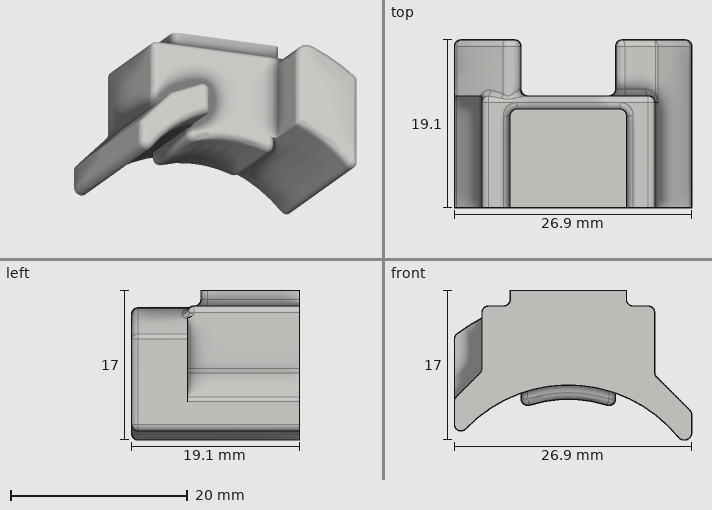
import cadquery as cq
import math

WIDTH = 26.92
LENGTH = 19.05
HEIGHT = 16.95
EDGE_RADIUS = 0.75

DECK_WIDTH = 13.2
DECK_HEIGHT = 1.75

BODY_WIDTH = 19.6
BODY_LENGTH = 12.7
BODY_LEFT = 3.12
BODY_RIGHT = BODY_LEFT + BODY_WIDTH
BODY_CENTRE = BODY_LEFT + BODY_WIDTH / 2
BODY_TOP = HEIGHT - DECK_HEIGHT
CORNER_START = BODY_LENGTH - EDGE_RADIUS
DECK_LENGTH = CORNER_START - EDGE_RADIUS

ARCH_RADIUS = 16.07
ARCH_TOP = 6.25
ARCH_CENTRE_Z = ARCH_TOP - ARCH_RADIUS
LEFT_TIP_RADIUS = 0.75
RIGHT_TIP_RADIUS = 0.85

LEFT_SKIRT_EDGE = 4.68
RIGHT_SKIRT_EDGE = 3.18

GAP_WIDTH = 10.71
LEFT_LEG_INNER = BODY_CENTRE - GAP_WIDTH / 2
RIGHT_LEG_INNER = BODY_CENTRE + GAP_WIDTH / 2
LEFT_LEG_TOP_RADIUS = 21.0
LEFT_LEG_TOP_CENTRE_Z = -4.75
LEFT_LEG_INNER_RADIUS = 1.5
RIGHT_LEG_TOP_ANGLE = 22.5
RIGHT_LEG_CREST = 22.95

KEY_DEPTH = 1.62
KEY_LENGTH = GAP_WIDTH

FILLET_CLEARANCE = 0.003

SELECT_MARGIN = 0.08
FLOOR_MARGIN = 0.27


def arch_height(x):
    """Height of the arch surface at x."""
    return ARCH_CENTRE_Z + math.sqrt(ARCH_RADIUS**2 - (x - BODY_CENTRE) ** 2)


FLOOR = arch_height(WIDTH) - FLOOR_MARGIN


def prism(points, start, end):
    """Solid with the given XZ outline from y = start to y = end."""
    profile = cq.Workplane("XZ").polyline(points).close()
    return profile.extrude(start - end).translate((0, start, 0))


def slab(left, right, bottom, top, start, end):
    """Rectangular block given by its limits along X, Z and Y."""
    return prism([(left, bottom), (left, top), (right, top), (right, bottom)], start, end)


def cylinder(radius, centre_z):
    """Round bar along the whole length, centred on the body width."""
    return cq.Workplane("XZ").center(BODY_CENTRE, centre_z).circle(radius).extrude(-LENGTH)


def within(low, high):
    """Selector for edges whose middle lies between two corner points, with a margin."""
    return cq.selectors.BoxSelector(
        tuple(value - SELECT_MARGIN for value in low),
        tuple(value + SELECT_MARGIN for value in high),
    )


def round_long_edges(solid, points, radius=EDGE_RADIUS):
    """Fillet the edges that run along Y through the given (x, z) points."""
    for x, z in points:
        solid = solid.edges(within((x, 0, z), (x, LENGTH, z))).fillet(radius)
    return solid


def make_body():
    """Block with rounded rear corners and top edges; its front stays sharp."""
    body = slab(BODY_LEFT, BODY_RIGHT, FLOOR, BODY_TOP, 0, BODY_LENGTH)
    body = body.edges("|Z and >Y").fillet(EDGE_RADIUS)
    return body.faces(">Z").edges("not <Y").fillet(EDGE_RADIUS)


def make_skirt(outer_x, wall_x, edge_z, length):
    """45 degree slope from the outer side up to the body wall, blended at both ends."""
    root_z = edge_z + abs(wall_x - outer_x)
    blend_top = root_z + EDGE_RADIUS
    skirt = prism(
        [
            (outer_x, FLOOR),
            (outer_x, edge_z),
            (wall_x, root_z),
            (wall_x, blend_top),
            (BODY_CENTRE, blend_top),
            (BODY_CENTRE, FLOOR),
        ],
        0,
        length,
    )
    return round_long_edges(skirt, [(outer_x, edge_z), (wall_x, root_z)])


def make_left_leg():
    """Tall leg with an arched top; inside the body width it also fills below the rounded corner."""
    leg = slab(0, LEFT_LEG_INNER, FLOOR, HEIGHT, CORNER_START, LENGTH)
    leg = leg.intersect(cylinder(LEFT_LEG_TOP_RADIUS, LEFT_LEG_TOP_CENTRE_Z))
    leg = leg.edges("|Y").edges(">Z").fillet(LEFT_LEG_INNER_RADIUS)
    leg = leg.edges("|Y").edges("<X").edges(">Z").fillet(EDGE_RADIUS)
    return leg.cut(slab(0, BODY_LEFT, FLOOR, HEIGHT, 0, BODY_LENGTH))


def make_right_leg():
    """Low leg that continues the right slope and then rises more gently toward the gap."""
    crest_z = RIGHT_SKIRT_EDGE + WIDTH - RIGHT_LEG_CREST
    rise = (RIGHT_LEG_CREST - RIGHT_LEG_INNER) * math.tan(math.radians(RIGHT_LEG_TOP_ANGLE))
    top = [
        (RIGHT_LEG_INNER, crest_z + rise),
        (RIGHT_LEG_CREST, crest_z),
        (WIDTH, RIGHT_SKIRT_EDGE),
    ]
    leg = prism([(RIGHT_LEG_INNER, FLOOR), *top, (WIDTH, FLOOR)], CORNER_START, LENGTH)
    return round_long_edges(leg, top)


def blend_legs(part):
    """Fillet the legs into the rear wall; each blend follows the tangent edges next to it."""
    left_low = (BODY_LEFT + 2 * EDGE_RADIUS, CORNER_START + EDGE_RADIUS / 2, FLOOR)
    left_high = (LEFT_LEG_INNER, BODY_LENGTH, BODY_TOP - 2 * SELECT_MARGIN)
    right_low = (RIGHT_LEG_INNER + 2 * EDGE_RADIUS, BODY_LENGTH, ARCH_TOP)
    right_high = (BODY_RIGHT - 2 * EDGE_RADIUS, BODY_LENGTH, BODY_TOP)
    part = part.edges(within(left_low, left_high)).fillet(EDGE_RADIUS)
    return part.edges(within(right_low, right_high)).fillet(EDGE_RADIUS)


def add_deck(part):
    """Deck with rounded rear corners and a concave fillet around its foot."""
    left = BODY_CENTRE - DECK_WIDTH / 2
    right = BODY_CENTRE + DECK_WIDTH / 2
    deck = slab(left, right, BODY_TOP, HEIGHT, 0, DECK_LENGTH)
    deck = deck.edges("|Z and >Y").fillet(EDGE_RADIUS)
    foot = within((left, EDGE_RADIUS, BODY_TOP), (right, DECK_LENGTH, BODY_TOP))
    return part.union(deck).edges(foot).fillet(EDGE_RADIUS - FILLET_CLEARANCE)


def make_key():
    """Rounded block whose underside is concentric with the arch; its rear meets the rear wall."""
    key = slab(
        LEFT_LEG_INNER, RIGHT_LEG_INNER, FLOOR, BODY_TOP / 2, BODY_LENGTH - KEY_LENGTH, BODY_LENGTH
    )
    key = key.edges("|Z").fillet(EDGE_RADIUS)
    key = key.cut(cylinder(ARCH_RADIUS - KEY_DEPTH, ARCH_CENTRE_Z))
    underside = within((0, 0, FLOOR), (WIDTH, LENGTH, ARCH_TOP - KEY_DEPTH))
    return key.edges(underside).fillet(EDGE_RADIUS)


result = make_body()
result = result.union(make_skirt(0, BODY_LEFT, LEFT_SKIRT_EDGE, BODY_LENGTH))
result = result.union(make_skirt(WIDTH, BODY_RIGHT, RIGHT_SKIRT_EDGE, CORNER_START))
result = result.union(make_left_leg()).union(make_right_leg())
result = result.cut(cylinder(ARCH_RADIUS, ARCH_CENTRE_Z))
result = round_long_edges(result, [(0, arch_height(0))], LEFT_TIP_RADIUS)
result = round_long_edges(result, [(WIDTH, arch_height(WIDTH))], RIGHT_TIP_RADIUS)
result = result.edges(">Y").fillet(EDGE_RADIUS)
result = blend_legs(result)
result = add_deck(result)
result = result.union(make_key())